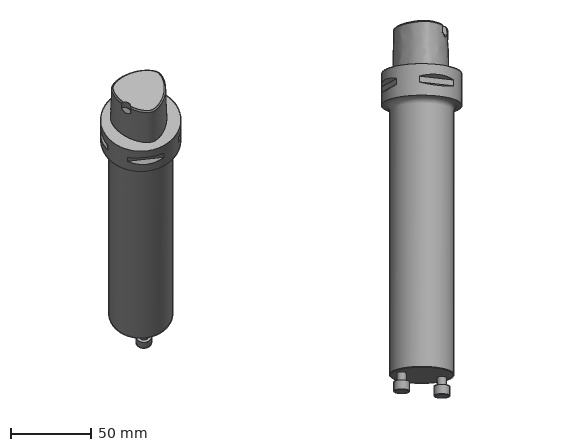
import cadquery as cq
import math

shank_height = 30.0
shank_radius = 35.2 / 2
lobe_height = 1.5
shank_taper = 0.05
shank_chamfer = 1.0
outline_points = 48

notch_radius = 4.0
notch_depth = 5.5
notch_cone_depth = 2.1
notch_tip_radius = 1.5
notch_axis_y = -17.0

flange_radius = 25.0
flange_height = 20.3

slot_level = -10.0
slot_floor_distance = 22.2
slot_floor_height = 3.8
slot_wall_angle = 30

body_radius = 40.1 / 2
body_bottom = -194.0
body_chamfer = 0.5
neck_fillet = 3.8

pin_offset = 9.7
pin_neck_diameter = 6.0
pin_head_diameter = 10.0
pin_neck_length = 5.7
pin_head_length = 6.4
pin_chamfer = 0.5


def lobe_point(angle, mean_radius):
    """Point on a three-lobed curve of constant width, one lobe toward +Y."""
    phase = 3 * (angle - math.pi / 2)
    support = mean_radius + lobe_height * math.cos(phase)
    slope = -3 * lobe_height * math.sin(phase)
    return (
        support * math.cos(angle) - slope * math.sin(angle),
        support * math.sin(angle) + slope * math.cos(angle),
    )


def lobe_loft(low, high, low_radius, high_radius):
    """Straight-sided solid between two three-lobed outlines."""
    angles = [2 * math.pi * i / outline_points for i in range(outline_points)]
    return (
        cq.Workplane("XY", origin=(0, 0, low))
        .spline([lobe_point(a, low_radius) for a in angles], periodic=True).close()
        .workplane(offset=high - low)
        .spline([lobe_point(a, high_radius) for a in angles], periodic=True).close()
        .loft(ruled=True)
    )


def make_shank():
    """Tapered three-lobed shank with a chamfered top edge."""
    rim = shank_height - shank_chamfer
    rim_radius = shank_radius - rim * shank_taper / 2
    taper = lobe_loft(0, rim, shank_radius, rim_radius)
    top = lobe_loft(rim, shank_height, rim_radius, rim_radius - shank_chamfer)
    return taper.union(top)


def make_notch():
    """Upright round cutter with a conical end, for the -Y side of the shank top."""
    cone_top = shank_height - notch_depth
    profile = [
        (0, shank_height),
        (notch_radius, shank_height),
        (notch_radius, cone_top),
        (notch_tip_radius, cone_top - notch_cone_depth),
        (0, cone_top - notch_cone_depth),
    ]
    cutter = cq.Workplane("XZ").polyline(profile).close().revolve(360, (0, 0), (0, 1))
    return cutter.translate((0, notch_axis_y, 0))


def make_body():
    """Flange and long cylinder, joined by a concave fillet."""
    fillet_mid = neck_fillet * (1 - math.sqrt(0.5))
    return (
        cq.Workplane("XZ")
        .moveTo(0, 0)
        .lineTo(flange_radius, 0)
        .lineTo(flange_radius, -flange_height)
        .lineTo(body_radius + neck_fillet, -flange_height)
        .threePointArc(
            (body_radius + fillet_mid, -flange_height - fillet_mid),
            (body_radius, -flange_height - neck_fillet),
        )
        .lineTo(body_radius, body_bottom + body_chamfer)
        .lineTo(body_radius - body_chamfer, body_bottom)
        .lineTo(0, body_bottom)
        .close()
        .revolve(360, (0, 0), (0, 1))
    )


def make_slot(angle):
    """Straight gripper slot with a flat floor and flared walls."""
    flare = (flange_radius - slot_floor_distance) * math.tan(math.radians(slot_wall_angle))
    floor_half = slot_floor_height / 2
    mouth_half = floor_half + flare
    section = [
        (slot_floor_distance, slot_level - floor_half),
        (flange_radius, slot_level - mouth_half),
        (flange_radius, slot_level + mouth_half),
        (slot_floor_distance, slot_level + floor_half),
    ]
    cutter = cq.Workplane("XZ").polyline(section).close().extrude(flange_radius, both=True)
    return cutter.rotate((0, 0, 0), (0, 0, 1), angle)


def make_pin(x, y):
    """Headed pin hanging from the lower end of the body."""
    neck = (
        cq.Workplane("XY", origin=(x, y, body_bottom))
        .circle(pin_neck_diameter / 2)
        .extrude(-pin_neck_length)
    )
    head = (
        cq.Workplane("XY", origin=(x, y, body_bottom - pin_neck_length))
        .circle(pin_head_diameter / 2)
        .extrude(-pin_head_length)
        .faces("<Z")
        .chamfer(pin_chamfer)
    )
    return neck.union(head)


result = make_body().union(make_shank().cut(make_notch()))
for slot_angle in (45, 135, 225, 315):
    result = result.cut(make_slot(slot_angle))
for side in (-1, 1):
    result = result.union(make_pin(side * pin_offset, -side * pin_offset))